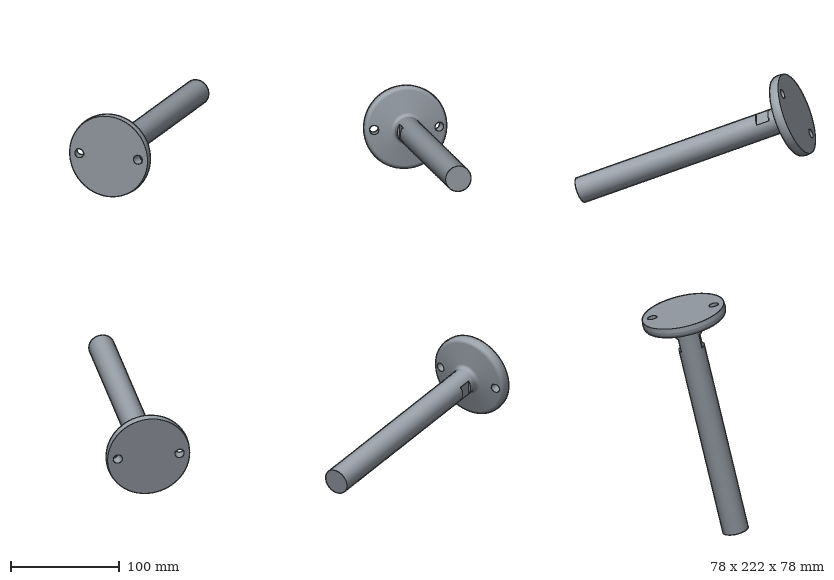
import cadquery as cq
import math

pad_diameter = 78.0
face_diameter = 76.8
rim_height = 4.5
shoulder_height = 9.5
rim_draft = (pad_diameter - face_diameter) / 2 / rim_height
shoulder_radius = pad_diameter / 2 - rim_draft * (shoulder_height - rim_height)
cone_angle = 9.5
rim_fillet = 3.5
neck_fillet = 3.3

total_length = 222.0
stem_diameter = 24.0
stem_radius = stem_diameter / 2
neck_height = shoulder_height + (shoulder_radius - stem_radius) * math.tan(math.radians(cone_angle))

across_flats = 19.3
flats_start = 23.8
flats_length = 12.7

hole_diameter = 8.5
hole_offset = 28.9


def edges_at_height(body, height):
    """Circular edges around the part axis that lie at the given Y."""
    tolerance = 0.02
    box_half = pad_diameter
    return body.edges(
        cq.selectors.BoxSelector(
            (-box_half, height - tolerance, -box_half),
            (box_half, height + tolerance, box_half),
        )
    ).edges("%CIRCLE")


def foot_and_stem():
    """Revolved pad and stem, rounded at the rim and at the neck."""
    body = (
        cq.Workplane("XY")
        .moveTo(0, 0)
        .lineTo(face_diameter / 2, 0)
        .lineTo(pad_diameter / 2, rim_height)
        .lineTo(shoulder_radius, shoulder_height)
        .lineTo(stem_radius, neck_height)
        .lineTo(stem_radius, total_length)
        .lineTo(0, total_length)
        .close()
        .revolve(360, (0, 0, 0), (0, 1, 0))
    )
    body = edges_at_height(body, shoulder_height).fillet(rim_fillet)
    return edges_at_height(body, neck_height).fillet(neck_fillet)


def flat_cutter(side):
    """Block that removes the stem beyond one wrench flat."""
    return cq.Workplane("XY").box(stem_diameter, flats_length, stem_diameter).translate(
        (side * (across_flats + stem_diameter) / 2, flats_start + flats_length / 2, 0)
    )


def hole_cutter(side):
    """Cylinder through the pad, leaning outward towards +Y."""
    lean = math.radians(cone_angle)
    direction = cq.Vector(side * math.sin(lean), math.cos(lean), 0)
    start = cq.Vector(side * hole_offset, 0, 0) - direction * neck_height
    return cq.Solid.makeCylinder(hole_diameter / 2, 2 * neck_height, start, direction)


result = foot_and_stem()
for side in (-1, 1):
    result = result.cut(flat_cutter(side))
    result = result.cut(hole_cutter(side))